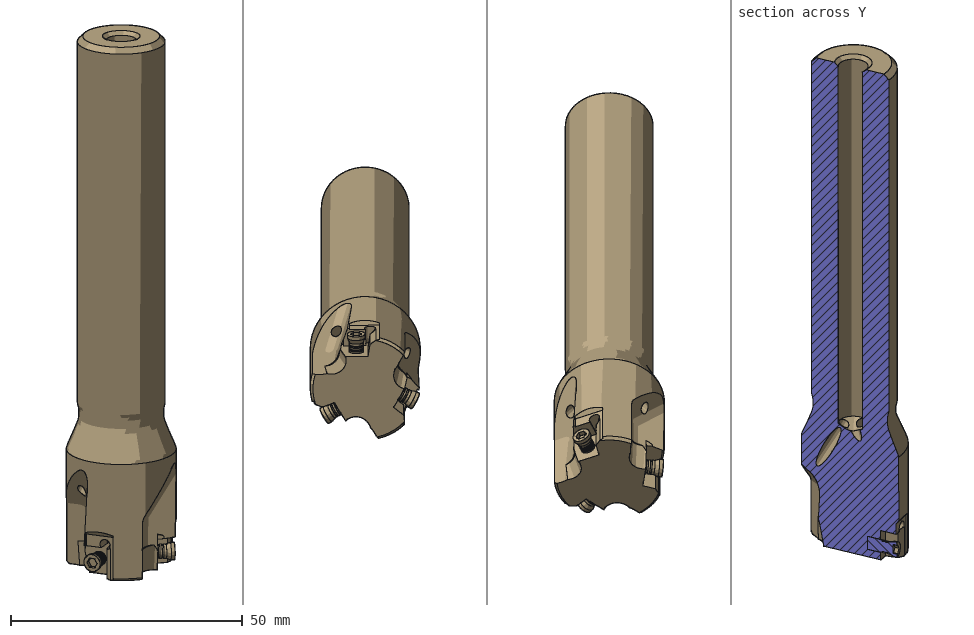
import cadquery as cq

FLUTE_COUNT = 3
FIRST_FLUTE_ANGLE = 30.0
FLUTE_ANGLES = [FIRST_FLUTE_ANGLE + i * 360 / FLUTE_COUNT for i in range(FLUTE_COUNT)]

TOTAL_LENGTH = 119.5
SHANK_DIAMETER = 19.0
SHANK_RADIUS = SHANK_DIAMETER / 2
SHANK_BOTTOM = 36.8
TOP_CHAMFER = 1.2
NECK_RADIUS = 9.2
NECK_TOP = 35.4
NECK_BOTTOM = 33.6
NECK_BLEND_HEIGHT = 0.7
NECK_BLEND_DEPTH = 0.1
CONE_TOP = 32.5
CONE_TOP_RADIUS = 9.4
HEAD_DIAMETER = 23.8
HEAD_RADIUS = HEAD_DIAMETER / 2
HEAD_TOP = 26.4
HEAD_BLEND_HEIGHT = 0.7
HEAD_BLEND_DEPTH = 0.2
BOTTOM_CHAMFER = 0.6

BORE_RADIUS = 3.2
BORE_MOUTH_RADIUS = 4.1
BORE_FLOOR = 31.0
BORE_TIP_DEPTH = 1.9
COOLANT_RADIUS = 1.2
COOLANT_START = (-1.7, -1.0, BORE_FLOOR)
COOLANT_EXIT = (-6.9, -8.1, 15.5)

CUT_SIZE = 71.7
FLOOR_Y = -3.5
RAMP_START_Z = 13.6
RAMP_END = (-11.1, 24.4)
WALL_POINTS = [(-3.1, -11.2, 17.3), (-3.7, -11.2, 7.2), (-5.3, -6.6, 9.3)]
FLUTE_CORNER = (-6.2, FLOOR_Y, RAMP_START_Z)
FLUTE_FILLET = 3.2

GULLET_RADIUS = 3.1
GULLET_TOP = (-8.5, FLOOR_Y - GULLET_RADIUS, 5.4)
GULLET_BOTTOM = (-6.9, FLOOR_Y - GULLET_RADIUS, -1.2)

SEAT_Y = -7.4
SEAT_TOP = 7.2
SEAT_LEFT = -6.1
SEAT_RIGHT = 0.7
SEAT_WALL_END = (1.2, -10.2)
SEAT_BEVEL_END_X = 2.5
LEFT_RELIEF_RADIUS = 1.0
LEFT_RELIEF_X = -5.5
LEFT_RELIEF_Z = SEAT_TOP + 0.4
RIGHT_RELIEF_X = 1.2
RIGHT_RELIEF_Z = SEAT_TOP + 0.7
RIGHT_RELIEF_RADIUS = 1.2

POCKET_LEFT = -3.2
POCKET_RIGHT = 3.2
POCKET_TOP = 9.8
POCKET_CEILING_SLOPE = 1.3
POCKET_Y = -11.1

SCREW_X = -1.8
SCREW_Z = 3.5
SCREW_END_Y = -4.2
SCREW_SHAFT_RADIUS = 1.5
SCREW_HEAD_RADIUS = 1.9
SCREW_HEAD_Y = -11.3
SCREW_HEAD_RIM = 0.8
SCREW_HEAD_CONE = 1.0
GROOVE_COUNT = 2
GROOVE_WIDTH = 0.4
GROOVE_DEPTH = 0.2
GROOVE_PITCH = 0.8
SOCKET_SIDES = 6
SOCKET_WIDTH = 2.4
SOCKET_DEPTH = 1.0

OUTSIDE_Y = -17.9
BELOW = -2.4


def turned_blank():
    outline = [
        (0, 0),
        (HEAD_RADIUS - BOTTOM_CHAMFER, 0),
        (HEAD_RADIUS, BOTTOM_CHAMFER),
        (HEAD_RADIUS, HEAD_TOP),
        (HEAD_RADIUS - HEAD_BLEND_DEPTH, HEAD_TOP + HEAD_BLEND_HEIGHT),
        (CONE_TOP_RADIUS, CONE_TOP),
        (NECK_RADIUS, NECK_BOTTOM),
        (NECK_RADIUS, NECK_TOP),
        (NECK_RADIUS + NECK_BLEND_DEPTH, NECK_TOP + NECK_BLEND_HEIGHT),
        (SHANK_RADIUS, SHANK_BOTTOM),
        (SHANK_RADIUS, TOTAL_LENGTH - TOP_CHAMFER),
        (SHANK_RADIUS - TOP_CHAMFER, TOTAL_LENGTH),
        (0, TOTAL_LENGTH),
    ]
    return cq.Workplane("XZ").polyline(outline).close().revolve(360, (0, 0), (0, 1))


def coolant_bore():
    mouth_depth = BORE_MOUTH_RADIUS - BORE_RADIUS
    outline = [
        (0, BORE_FLOOR - BORE_TIP_DEPTH),
        (BORE_RADIUS, BORE_FLOOR),
        (BORE_RADIUS, TOTAL_LENGTH - mouth_depth),
        (BORE_MOUTH_RADIUS, TOTAL_LENGTH),
        (0, TOTAL_LENGTH),
    ]
    return cq.Workplane("XZ").polyline(outline).close().revolve(360, (0, 0), (0, 1))


def rod(start, end, radius):
    """Cylinder between two points."""
    axis = cq.Vector(*end) - cq.Vector(*start)
    return cq.Workplane(cq.Solid.makeCylinder(radius, axis.Length, cq.Vector(*start), axis))


def half_space(a, b, c):
    """Large block on the -Y side of the plane through three points."""
    origin = cq.Vector(*a)
    normal = (cq.Vector(*b) - origin).cross(cq.Vector(*c) - origin)
    if normal.y > 0:
        normal = -normal
    plane = cq.Plane(origin=origin, normal=normal)
    return cq.Workplane(plane).rect(CUT_SIZE, CUT_SIZE).extrude(CUT_SIZE)


def outward_box(left, right, bottom, top, floor_y):
    """Block from a flat floor out past the head."""
    return cq.Workplane("XY").box(right - left, floor_y - OUTSIDE_Y, top - bottom, centered=False).translate(
        (left, OUTSIDE_Y, bottom)
    )


def flute_cut():
    flute = outward_box(-CUT_SIZE / 2, CUT_SIZE / 2, BELOW, CUT_SIZE / 2, FLOOR_Y)
    ramp_points = [(0, FLOOR_Y, RAMP_START_Z), (CUT_SIZE, FLOOR_Y, RAMP_START_Z), (0, *RAMP_END)]
    flute = flute.intersect(half_space(*ramp_points))
    flute = flute.intersect(half_space(*WALL_POINTS))
    corner = flute.vertices(cq.selectors.NearestToPointSelector(FLUTE_CORNER))
    return corner.ancestors("Edge").fillet(FLUTE_FILLET)


def gullet_cut():
    return rod(GULLET_BOTTOM, GULLET_TOP, GULLET_RADIUS)


def seat_cut():
    """Insert seat with a sloping right wall and a relief hole in each upper corner."""
    outline = [
        (SEAT_LEFT, SEAT_Y),
        (SEAT_RIGHT, SEAT_Y),
        SEAT_WALL_END,
        (SEAT_BEVEL_END_X, POCKET_Y),
        (SEAT_BEVEL_END_X, OUTSIDE_Y),
        (SEAT_LEFT, OUTSIDE_Y),
    ]
    seat = cq.Workplane("XY", origin=(0, 0, BELOW)).polyline(outline).close().extrude(SEAT_TOP - BELOW)
    for x, z, radius in (
        (LEFT_RELIEF_X, LEFT_RELIEF_Z, LEFT_RELIEF_RADIUS),
        (RIGHT_RELIEF_X, RIGHT_RELIEF_Z, RIGHT_RELIEF_RADIUS),
    ):
        seat = seat.union(rod((x, SEAT_Y, z), (x, OUTSIDE_Y, z), radius))
    return seat


def pocket_cut():
    """Pocket with a flat floor and a ceiling that rises outwards."""
    ceiling_rise = POCKET_CEILING_SLOPE * (POCKET_Y - OUTSIDE_Y)
    outline = [
        (POCKET_Y, BELOW),
        (POCKET_Y, POCKET_TOP),
        (OUTSIDE_Y, POCKET_TOP + ceiling_rise),
        (OUTSIDE_Y, BELOW),
    ]
    pocket = cq.Workplane("YZ", origin=(POCKET_LEFT, 0, 0)).polyline(outline).close()
    return pocket.extrude(POCKET_RIGHT - POCKET_LEFT)


def screw_envelope():
    """Screw without its socket; the part below the seat also shapes the screw hole."""
    cone_base_y = SCREW_HEAD_Y + SCREW_HEAD_RIM + SCREW_HEAD_CONE
    outline = [
        (0, SCREW_END_Y),
        (SCREW_SHAFT_RADIUS, SCREW_END_Y),
        (SCREW_SHAFT_RADIUS, cone_base_y),
        (SCREW_HEAD_RADIUS, SCREW_HEAD_Y + SCREW_HEAD_RIM),
        (SCREW_HEAD_RADIUS, SCREW_HEAD_Y),
        (0, SCREW_HEAD_Y),
    ]
    screw = cq.Workplane("XY").polyline(outline).close().revolve(360, (0, 0), (0, 1))
    return screw.translate((SCREW_X, 0, SCREW_Z))


def thread_groove(y):
    ring = (
        cq.Workplane("XZ", origin=(SCREW_X, y, SCREW_Z))
        .circle(SCREW_HEAD_RADIUS)
        .circle(SCREW_SHAFT_RADIUS - GROOVE_DEPTH)
    )
    return ring.extrude(GROOVE_WIDTH)


def clamp_screw():
    socket = (
        cq.Workplane("XZ", origin=(SCREW_X, SCREW_HEAD_Y + SOCKET_DEPTH, SCREW_Z))
        .polygon(SOCKET_SIDES, SOCKET_WIDTH)
        .extrude(SOCKET_DEPTH)
    )
    screw = screw_envelope().cut(socket)
    for i in range(GROOVE_COUNT):
        screw = screw.cut(thread_groove(SEAT_Y - GROOVE_WIDTH - i * GROOVE_PITCH))
    return screw


def placed(shape, angle):
    return shape.rotate((0, 0, 0), (0, 0, 1), angle)


def cutter_body():
    body = turned_blank().cut(coolant_bore())
    cuts = [
        flute_cut(),
        gullet_cut(),
        seat_cut(),
        pocket_cut(),
        screw_envelope(),
        rod(COOLANT_START, COOLANT_EXIT, COOLANT_RADIUS),
    ]
    for angle in FLUTE_ANGLES:
        for cut in cuts:
            body = body.cut(placed(cut, angle))
    return body


body = cutter_body()
screws = [placed(clamp_screw(), angle) for angle in FLUTE_ANGLES]
result = cq.Compound.makeCompound([body.solids().val(), *[screw.solids().val() for screw in screws]])